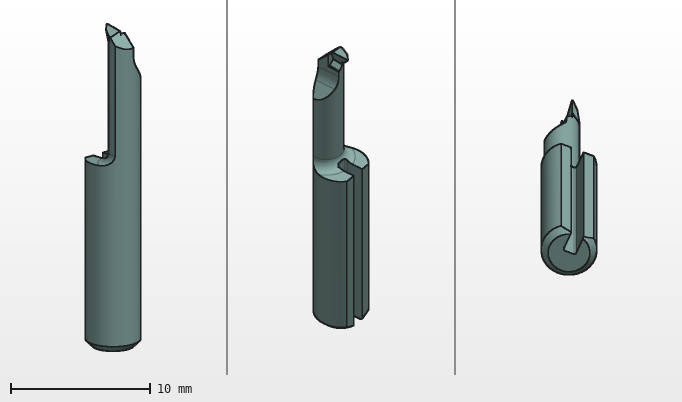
import cadquery as cq
import math

total_height = 24.0
oversize = 48.0

shank_diameter = 4.0
shank_radius = shank_diameter / 2
flat_x = shank_radius - 3.55
shank_height = 14.02
bottom_chamfer = 0.5
slot_width = 0.95
slot_floor_x = -0.05
slot_corner_radius = 0.15

neck_radius = 1.3
neck_left_x = 0.1
neck_center_x = neck_left_x + neck_radius
root_fillet = 0.8

relief_y = 0.12
relief_start_z = 20.18
relief_angle = 40.0
relief_radius = 1.5

tip = (-0.6, 0.02, total_height)
nose_land = 0.07
tooth_bottom_z = 23.2
heel_start = (-0.17, -0.58)
heel_end = (0.82, -1.2)
flank_normal = (4.8, 3.5, 2.7)
top_fall_x = 0.1
top_fall_y = 0.2
back_chamfer_z = 22.73
back_fall_y = 0.1

pocket_end_x = 1.05
pocket_root_y = -0.26
pocket_root_z = 22.97
pocket_exit_z = 22.6
rake_turn = 5.0


def half_space(origin, normal):
    """Large block lying on the side of a plane that the normal points to."""
    plane = cq.Plane(origin=origin, normal=normal)
    return cq.Workplane(plane).rect(oversize, oversize).extrude(oversize)


def make_shank():
    shank = cq.Workplane("XY").circle(shank_radius).extrude(shank_height)
    shank = shank.faces("<Z").chamfer(bottom_chamfer)
    return shank.cut(half_space((flat_x, 0, shank_height / 2), (-1, 0, 0)))


def make_neck():
    """Neck and its concave root flare, revolved about the neck axis."""
    arc_drop = root_fillet * math.sin(math.radians(45))
    flare_radius = neck_radius + root_fillet
    flare_top = shank_height + root_fillet
    profile = (
        cq.Workplane("XZ")
        .moveTo(0, shank_height)
        .lineTo(flare_radius, shank_height)
        .threePointArc((flare_radius - arc_drop, flare_top - arc_drop), (neck_radius, flare_top))
        .lineTo(neck_radius, total_height)
        .lineTo(0, total_height)
        .close()
    )
    neck = profile.revolve(360, (0, 0), (0, 1)).translate((neck_center_x, 0, 0))
    envelope = cq.Workplane("XY").circle(shank_radius).extrude(total_height)
    return neck.intersect(envelope)


def make_relief():
    """Side clearance: a sloping run blended by an arc into an upright face."""
    angle = math.radians(relief_angle)
    arc_width = relief_radius * (1 - math.cos(angle))
    ramp_height = (neck_radius - relief_y - arc_width) / math.tan(angle)
    arc_start_z = relief_start_z + ramp_height
    arc_end_z = arc_start_z + relief_radius * math.sin(angle)
    arc_mid = (
        relief_y + relief_radius * (1 - math.cos(angle / 2)),
        arc_end_z - relief_radius * math.sin(angle / 2),
    )
    return (
        cq.Workplane("YZ")
        .moveTo(neck_radius, relief_start_z)
        .lineTo(relief_y + arc_width, arc_start_z)
        .threePointArc(arc_mid, (relief_y, arc_end_z))
        .lineTo(relief_y, total_height)
        .lineTo(oversize, total_height)
        .lineTo(oversize, relief_start_z)
        .close()
        .extrude(oversize, both=True)
    )


def make_tooth():
    """Upright prism whose leading flank is cut back below the tip."""
    prism = (
        cq.Workplane("XY", origin=(0, 0, tooth_bottom_z))
        .polyline([(tip[0], relief_y), (tip[0], heel_start[1]), heel_start, heel_end, (heel_end[0], relief_y)])
        .close()
        .extrude(total_height - tooth_bottom_z)
    )
    back = tuple(-part for part in flank_normal)
    return prism.cut(half_space((tip[0] - nose_land, tip[1], tip[2]), back))


def make_chip_pocket():
    """Undercut rake face and sloping floor, turned slightly about the tip."""
    pocket = (
        cq.Workplane("YZ", origin=(pocket_end_x - oversize, 0, 0))
        .polyline([
            (tip[1], total_height),
            (pocket_root_y, pocket_root_z),
            (relief_y, pocket_exit_z),
            (neck_radius, pocket_exit_z),
            (neck_radius, total_height),
        ])
        .close()
        .extrude(oversize)
    )
    return pocket.rotate(tip, (tip[0], tip[1], 0), rake_turn)


def make_slot():
    """Lengthwise slot with rounded floor corners, open at the flat and running into the root flare."""
    return (
        cq.Workplane("XY")
        .box(oversize, slot_width, shank_height + root_fillet, centered=(False, True, False))
        .translate((slot_floor_x - oversize, 0, 0))
        .edges("|Z and >X")
        .fillet(slot_corner_radius)
    )


result = (
    make_shank()
    .union(make_neck())
    .cut(make_slot())
    .cut(make_relief())
    .union(make_tooth())
    .cut(make_chip_pocket())
    .cut(half_space((shank_radius, 0, back_chamfer_z), (1, -back_fall_y, 1)))
    .cut(half_space(tip, (top_fall_x, -top_fall_y, 1)))
)